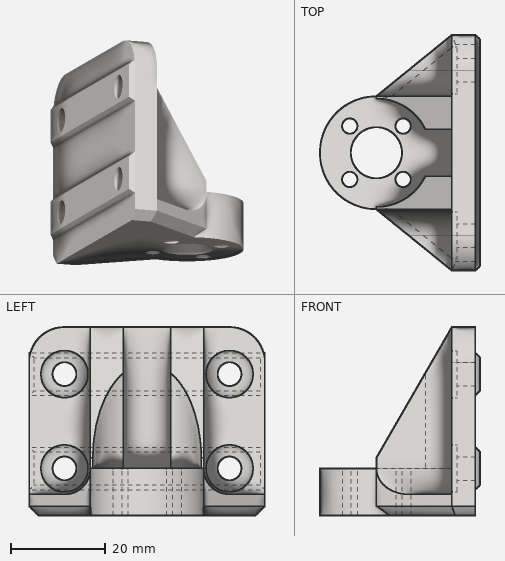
import cadquery as cq
import math

ring_radius = 12
ring_height = 10
ring_bore = 10.8
ring_screw_hole = 3.2
ring_screw_circle = 16
ring_screw_count = 4
ring_screw_start = 45

plate_width = 50
plate_height = 40
plate_front = 16
plate_thickness = 5
plate_back = plate_front + plate_thickness
plate_corner_radius = 7.5

gusset_inner = 5
gusset_slope = 60
gusset_clearance_radius = 11.5

web_floor = 4.5
web_fillet = ring_height - web_floor
bottom_chamfer = 2

screw_hole = 5
screw_counterbore = 10
counterbore_depth = 1
screw_spread = 35
screw_heights = (10, 30)

rail_width = 9
rail_height = 1
rail_flank_angle = 45


def box(x_start, x_end, y_start, y_end, z_start, z_end):
    size = (x_end - x_start, y_end - y_start, z_end - z_start)
    return cq.Workplane("XY").box(*size, centered=False).translate((x_start, y_start, z_start))


def make_plate():
    """Plate above the web floor, with rounded upper corners."""
    half_width = plate_width / 2
    plate = box(plate_front, plate_back, -half_width, half_width, web_floor, plate_height)
    return plate.edges("|X and >Z").fillet(plate_corner_radius)


def make_base():
    """Tapering webs on both sides of the ring, the bridge between them and the foot of the plate."""
    half_width = plate_width / 2
    footprint = [
        (0, -ring_radius),
        (plate_front, -half_width),
        (plate_back, -half_width),
        (plate_back, half_width),
        (plate_front, half_width),
        (0, ring_radius),
    ]
    webs = cq.Workplane("XY").polyline(footprint).close().extrude(ring_height)
    webs = webs.faces("<Z").edges("not |Y").chamfer(bottom_chamfer)
    fillet_end = ring_radius + web_fillet
    for side in (-1, 1):
        hollow = (
            cq.Workplane("YZ")
            .moveTo(side * ring_radius, ring_height)
            .radiusArc((side * fillet_end, web_floor), -side * web_fillet)
            .lineTo(side * half_width, web_floor)
            .lineTo(side * half_width, ring_height)
            .close()
            .extrude(plate_front)
        )
        webs = webs.cut(hollow)
    return webs


def make_gussets():
    """Sloping walls, cleared between them and around the ring's top face."""
    front_height = plate_height - plate_front * math.tan(math.radians(gusset_slope))
    profile = [
        (0, ring_height),
        (plate_front, ring_height),
        (plate_front, plate_height),
        (0, front_height),
    ]
    gussets = cq.Workplane("XZ").polyline(profile).close().extrude(ring_radius, both=True)
    channel = box(0, plate_front, -gusset_inner, gusset_inner, ring_height, plate_height)
    clearance = (
        cq.Workplane("XY", origin=(0, 0, ring_height))
        .circle(gusset_clearance_radius)
        .extrude(plate_height)
    )
    return gussets.cut(channel).cut(clearance)


def make_rail(height):
    """Rail with bevelled flanks and ends."""
    return (
        cq.Workplane("YZ", origin=(plate_back, 0, height))
        .rect(plate_width, rail_width)
        .extrude(rail_height, taper=rail_flank_angle)
    )


def drill_plate(body):
    """Counterbored screw holes running through the plate and rails."""
    for height in screw_heights:
        for y in (-screw_spread / 2, screw_spread / 2):
            start = cq.Workplane("YZ", origin=(plate_front, y, height))
            body = body.cut(start.circle(screw_counterbore / 2).extrude(counterbore_depth))
            body = body.cut(start.circle(screw_hole / 2).extrude(plate_thickness + rail_height))
    return body


def drill_ring(body):
    """Central bore with screw holes around it."""
    bottom = cq.Workplane("XY")
    bore = bottom.circle(ring_bore / 2).extrude(ring_height)
    screws = (
        bottom.polarArray(ring_screw_circle / 2, ring_screw_start, 360, ring_screw_count)
        .circle(ring_screw_hole / 2)
        .extrude(ring_height)
    )
    return body.cut(bore).cut(screws)


ring = cq.Workplane("XY").circle(ring_radius).extrude(ring_height)
result = make_base().union(make_plate()).union(make_gussets()).union(ring)
for rail_level in screw_heights:
    result = result.union(make_rail(rail_level))
result = drill_ring(drill_plate(result)).clean()